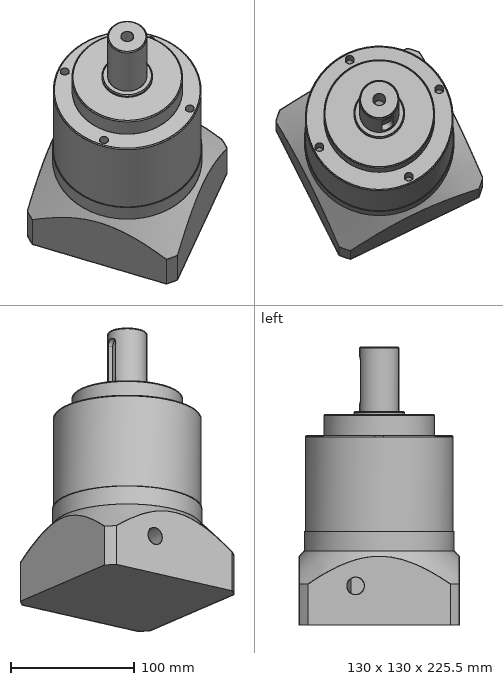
import cadquery as cq
import math

flange_width = 130.0
flange_half = flange_width / 2
corner_radius = 87.0

cone_bottom_z = 33.1
cone_top_z = 60.2
ring_top_z = 75.8
body_top_z = 153.5
pilot_top_z = 171.0
collar_top_z = 173.2
shaft_top_z = 225.5

ring_radius = 60.7
body_radius = 60.0
pilot_radius = 44.9
collar_radius = 20.5
shaft_radius = 16.0
edge_chamfer = 1.0

key_width = 10.0
key_length = 40.0
key_depth = 5.0
key_centre_z = 198.5

drill_point_angle = 118
centre_hole_diameter = 10.1
centre_hole_depth = 28.0
mount_hole_diameter = 7.0
mount_hole_depth = 18.0
mount_circle_radius = 54.1
mount_hole_count = 4

access_diameter = 14.2
access_y = 19.2
access_z = 31.8
hub_radius = 27.0
hub_flat_edge_y = 22.8


def turned_step(radius, bottom_z, top_z):
    """Cylinder about the main axis with its top edge broken."""
    step = cq.Workplane("XY", origin=(0, 0, bottom_z)).circle(radius).extrude(top_z - bottom_z)
    return step.faces(">Z").chamfer(edge_chamfer)


def make_flange():
    """Square block trimmed by a turned outline: round corners, conical shoulder and ring."""
    turned = (
        cq.Workplane("XZ")
        .moveTo(0, 0)
        .lineTo(corner_radius, 0)
        .lineTo(corner_radius, cone_bottom_z)
        .lineTo(ring_radius, cone_top_z)
        .lineTo(ring_radius, ring_top_z)
        .lineTo(0, ring_top_z)
        .close()
        .revolve(360, (0, 0, 0), (0, 1, 0))
    )
    block = cq.Workplane("XY").rect(flange_width, flange_width).extrude(ring_top_z)
    return block.intersect(turned)


def drilled_hole(x, y, top_z, diameter, depth):
    """Tool for a blind vertical hole with a conical drill point below its straight depth."""
    radius = diameter / 2
    point_length = radius / math.tan(math.radians(drill_point_angle / 2))
    profile = (
        cq.Workplane("XZ")
        .moveTo(0, 0)
        .lineTo(radius, 0)
        .lineTo(radius, -depth)
        .lineTo(0, -depth - point_length)
        .close()
    )
    return profile.revolve(360, (0, 0, 0), (0, 1, 0)).translate((x, y, top_z))


def keyway():
    """Tool for the round-ended slot sunk from the +Y side of the shaft."""
    return (
        cq.Workplane("XZ", origin=(0, shaft_radius - key_depth, key_centre_z))
        .slot2D(key_length, key_width, 90)
        .extrude(-2 * key_depth)
    )


def access_hole():
    """Tool for the side hole, stopping on the round hub and its flat facing -X."""
    flat_x = -math.sqrt(hub_radius**2 - hub_flat_edge_y**2)
    drill = (
        cq.Workplane("YZ", origin=(-flange_half, access_y, access_z))
        .circle(access_diameter / 2)
        .extrude(flange_half)
    )
    hub = cq.Workplane("XY").circle(hub_radius).extrude(cone_top_z)
    flat_side = (
        cq.Workplane("XY", origin=(flat_x, 0, 0))
        .rect(2 * hub_radius, 2 * hub_radius)
        .extrude(cone_top_z)
        .translate((hub_radius, 0, 0))
    )
    return drill.cut(hub.intersect(flat_side))


result = (
    make_flange()
    .union(turned_step(body_radius, ring_top_z, body_top_z))
    .union(turned_step(pilot_radius, body_top_z, pilot_top_z))
    .union(turned_step(collar_radius, pilot_top_z, collar_top_z))
    .union(turned_step(shaft_radius, collar_top_z, shaft_top_z))
    .cut(keyway())
    .cut(access_hole())
    .cut(drilled_hole(0, 0, shaft_top_z, centre_hole_diameter, centre_hole_depth))
)

for index in range(mount_hole_count):
    angle = 2 * math.pi * index / mount_hole_count
    hole_x = mount_circle_radius * math.cos(angle)
    hole_y = mount_circle_radius * math.sin(angle)
    result = result.cut(drilled_hole(hole_x, hole_y, body_top_z, mount_hole_diameter, mount_hole_depth))